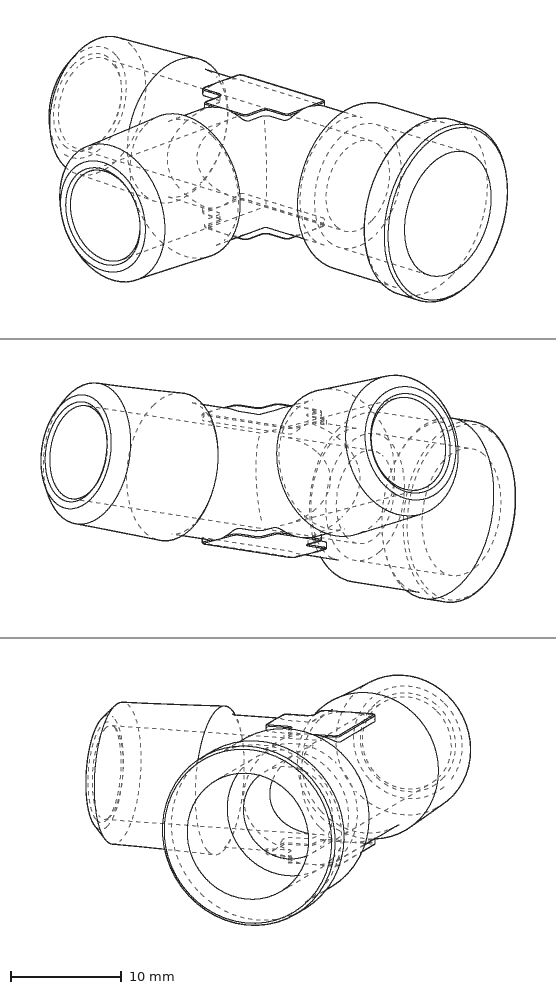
import cadquery as cq
import math

run_male_reach = 21.5
run_socket_reach = 22.5
branch_reach = 21.5

body_radius = 12.0 / 2
bore_radius = 8.5 / 2
crotch_radius = 0.5

shoulder_round = 1.0

male_length = 11.0
male_max_radius = 6.74
taper_slope = 1 / 32
male_chamfer = 1.25
bore_chamfer = 0.3
male_shoulder_rise = male_max_radius - body_radius
run_round_rise = 0.4
branch_round_rise = male_shoulder_rise

socket_radius = 15.5 / 2
socket_length = 10.85
socket_round_rise = 0.5
socket_bore_radius = 11.6 / 2
socket_bore_depth = 11.0
collar_radius = 16.5 / 2
collar_length = 2.7
collar_chamfer = 0.25

pad_half_length = 5.3
pad_half_width = 2.65
pad_stem_end = 5.3
pad_corner_radius = 0.5
pad_edge_chamfer = 0.1


def round_angle(rise):
    """Angle through which a shoulder round turns while it climbs by rise."""
    return math.acos(1 - rise / shoulder_round)


def round_run(rise):
    """Axial length of a shoulder round that climbs by rise."""
    return shoulder_round * math.sin(round_angle(rise))


def round_middle(rise):
    """Axial and radial offset of the middle of a round from the end tangent to a cylinder."""
    half_angle = round_angle(rise) / 2
    return shoulder_round * math.sin(half_angle), shoulder_round * (1 - math.cos(half_angle))


def cone_run(cone_rise, round_rise):
    """Axial length of a cone that climbs by cone_rise, tangent to a round of height round_rise."""
    return cone_rise / math.tan(round_angle(round_rise))


def revolve_along_x(profile):
    """Close a half profile on the X axis and revolve it around that axis."""
    return profile.close().revolve(360, (0, 0, 0), (1, 0, 0))


def to_branch(arm):
    """Turn an arm from -X to -Y."""
    return arm.rotate((0, 0, 0), (0, 0, 1), 90)


def male_arm(reach, round_rise):
    """Solid arm from the origin to its male end at X = -reach."""
    chamfer_x = -reach + male_chamfer
    chamfer_radius = male_max_radius - taper_slope * (male_length - male_chamfer)
    shoulder_x = -reach + male_length
    round_x = shoulder_x + cone_run(male_shoulder_rise - round_rise, round_rise)
    tube_x = round_x + round_run(round_rise)
    mid_run, mid_rise = round_middle(round_rise)
    profile = (
        cq.Workplane("XY")
        .lineTo(-reach, 0)
        .lineTo(-reach, chamfer_radius - male_chamfer)
        .lineTo(chamfer_x, chamfer_radius)
        .lineTo(shoulder_x, male_max_radius)
    )
    if round_x > shoulder_x:
        profile = profile.lineTo(round_x, body_radius + round_rise)
    profile = (
        profile
        .threePointArc((tube_x - mid_run, body_radius + mid_rise), (tube_x, body_radius))
        .lineTo(0, body_radius)
    )
    return revolve_along_x(profile)


def socket_arm():
    """Solid arm from the origin to the socket end, with its shoulder and end collar."""
    end_x = run_socket_reach
    mid_run, mid_rise = round_middle(socket_round_rise)
    full_x = end_x - socket_length
    outer_round_x = full_x - round_run(socket_round_rise)
    outer_round_radius = socket_radius - socket_round_rise
    inner_round_radius = body_radius + socket_round_rise
    inner_round_x = outer_round_x - cone_run(outer_round_radius - inner_round_radius, socket_round_rise)
    tube_x = inner_round_x - round_run(socket_round_rise)

    collar_rise = collar_radius - socket_radius
    collar_mid_run, collar_mid_rise = round_middle(collar_rise)
    collar_x = end_x - collar_length
    neck_x = collar_x - round_run(collar_rise)
    neck_middle = (neck_x + collar_mid_run, socket_radius + collar_mid_rise)
    profile = (
        cq.Workplane("XY")
        .lineTo(0, body_radius)
        .lineTo(tube_x, body_radius)
        .threePointArc((tube_x + mid_run, body_radius + mid_rise), (inner_round_x, inner_round_radius))
        .lineTo(outer_round_x, outer_round_radius)
        .threePointArc((full_x - mid_run, socket_radius - mid_rise), (full_x, socket_radius))
        .lineTo(neck_x, socket_radius)
        .threePointArc(neck_middle, (collar_x, collar_radius))
        .lineTo(end_x - collar_chamfer, collar_radius)
        .lineTo(end_x, collar_radius - collar_chamfer)
        .lineTo(end_x, 0)
    )
    return revolve_along_x(profile)


def filleted_crotch():
    """The two tubes from the middle of the pads to the branch side, filleted along their joint."""
    side = 4 * body_radius
    cut_y = -pad_half_width / 2
    tube_length = body_radius + 2 * crotch_radius
    run_tube = cq.Workplane("YZ").circle(body_radius).extrude(tube_length, both=True)
    branch_tube = cq.Workplane("XZ").circle(body_radius).extrude(tube_length)
    branch_side = cq.Workplane("XY").box(side, side, side).translate((0, cut_y - side / 2, 0))
    crossing = run_tube.union(branch_tube).intersect(branch_side)
    return crossing.edges("%ELLIPSE").fillet(crotch_radius)


def pads():
    """T-shaped block whose top and bottom faces are the two pads."""
    height = 2 * body_radius
    bar = cq.Workplane("XY").box(2 * pad_half_length, 2 * pad_half_width, height)
    stem = (
        cq.Workplane("XY")
        .center(0, -pad_stem_end / 2)
        .box(2 * pad_half_width, pad_stem_end, height)
    )
    block = bar.union(stem).edges("|Z").fillet(pad_corner_radius)
    return block.faces("|Z").chamfer(pad_edge_chamfer)


def male_bore(reach):
    """Bore from the origin out through a male end at X = -reach, with its mouth chamfer."""
    profile = (
        cq.Workplane("XY")
        .lineTo(-reach, 0)
        .lineTo(-reach, bore_radius + bore_chamfer)
        .lineTo(-reach + bore_chamfer, bore_radius)
        .lineTo(0, bore_radius)
    )
    return revolve_along_x(profile)


def socket_bore():
    """Bore from the origin out through the socket, stepping up to the socket diameter."""
    floor_x = run_socket_reach - socket_bore_depth
    profile = (
        cq.Workplane("XY")
        .lineTo(0, bore_radius)
        .lineTo(floor_x, bore_radius)
        .lineTo(floor_x, socket_bore_radius)
        .lineTo(run_socket_reach, socket_bore_radius)
        .lineTo(run_socket_reach, 0)
    )
    return revolve_along_x(profile)


body = (
    male_arm(run_male_reach, run_round_rise)
    .union(socket_arm())
    .union(to_branch(male_arm(branch_reach, branch_round_rise)))
    .union(pads())
    .union(filleted_crotch())
)

result = (
    body
    .cut(male_bore(run_male_reach))
    .cut(to_branch(male_bore(branch_reach)))
    .cut(socket_bore())
)